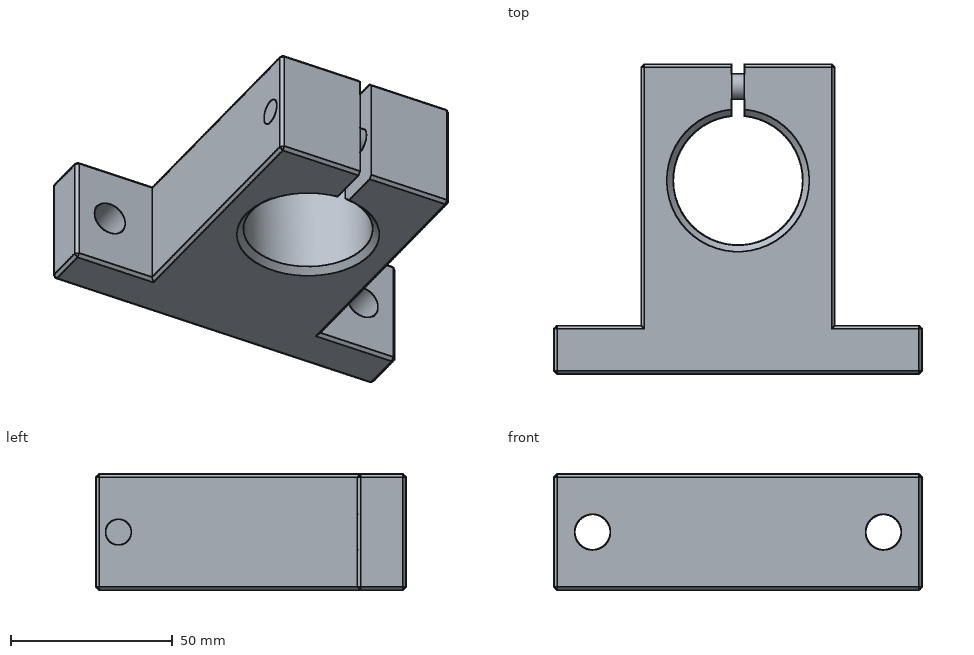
import cadquery as cq

base_width = 114.0
total_depth = 96.0
height = 36.0

base_thickness = 15.0
block_width = 60.0
edge_chamfer = 1.0

bore_diameter = 40.0
bore_chamfer = 2.0
bore_y = 60.0
slot_width = 4.0

mount_hole_diameter = 11.0
mount_hole_spacing = 90.1

screw_diameter = 8.0
screw_inset = 7.0
screw_y = total_depth - screw_inset


def make_outline_block():
    """T-shaped block with every outer edge chamfered; the two inner corners stay sharp."""
    base = cq.Workplane("XY").box(base_width, base_thickness, height, centered=(True, False, True))
    block = cq.Workplane("XY").box(block_width, total_depth, height, centered=(True, False, True))
    outline = base.union(block).clean()

    selection_reach = block_width / 2 + edge_chamfer
    inner_corners = cq.selectors.BoxSelector(
        (-selection_reach, base_thickness - edge_chamfer, -edge_chamfer),
        (selection_reach, base_thickness + edge_chamfer, edge_chamfer),
    )
    outer_edges = outline.edges(cq.selectors.InverseSelector(inner_corners))
    return outer_edges.chamfer(edge_chamfer)


def make_bore():
    """Cutter for the shaft bore, widened by a chamfer at both ends."""
    bore_radius = bore_diameter / 2
    mouth_radius = bore_radius + bore_chamfer
    half_height = height / 2
    return (
        cq.Workplane("XZ")
        .moveTo(0, -half_height)
        .lineTo(mouth_radius, -half_height)
        .lineTo(bore_radius, -half_height + bore_chamfer)
        .lineTo(bore_radius, half_height - bore_chamfer)
        .lineTo(mouth_radius, half_height)
        .lineTo(0, half_height)
        .close()
        .revolve(360, (0, 0), (0, 1))
        .translate((0, bore_y, 0))
    )


def make_slot():
    """Cutter for the clamping slot, from the bore centre out through the far end."""
    slot_length = total_depth - bore_y
    return (
        cq.Workplane("XY")
        .box(slot_width, slot_length, height, centered=(True, False, True))
        .translate((0, bore_y, 0))
    )


def make_mount_holes():
    """Cutters for the two mounting holes through the base."""
    half_spacing = mount_hole_spacing / 2
    return (
        cq.Workplane("XZ")
        .pushPoints([(-half_spacing, 0), (half_spacing, 0)])
        .circle(mount_hole_diameter / 2)
        .extrude(-base_thickness)
    )


def make_clamp_screw():
    """Plain screw along X, flush with both sides of the block."""
    return (
        cq.Workplane("YZ", origin=(-block_width / 2, screw_y, 0))
        .circle(screw_diameter / 2)
        .extrude(block_width)
    )


def make_shaft_support(screw):
    """Clamping shaft support with a hole that fits the screw."""
    return (
        make_outline_block()
        .cut(make_bore())
        .cut(make_slot())
        .cut(make_mount_holes())
        .cut(screw)
    )


clamp_screw = make_clamp_screw()
shaft_support = make_shaft_support(clamp_screw)

result = cq.Compound.makeCompound([shaft_support.val(), clamp_screw.val()])